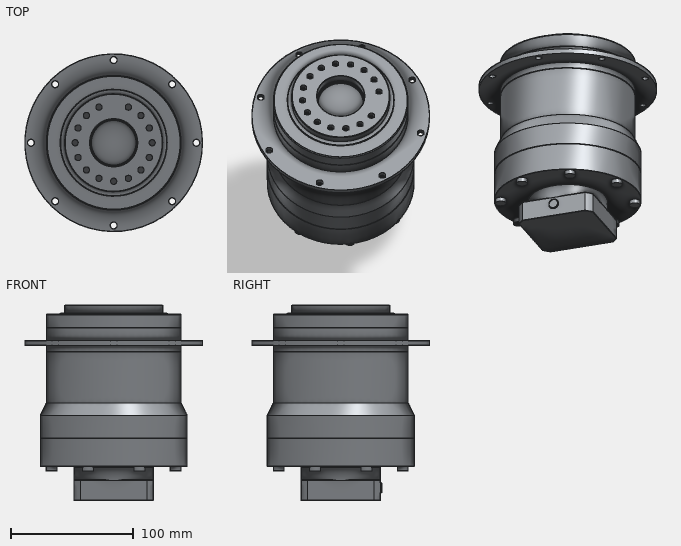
import cadquery as cq
import math

TOTAL_HEIGHT = 159.5
HOUSING_TOP = 152.3
GROOVE_HEIGHT = 140.9
GEAR_CASE_TOP = 121.4
CONE_TOP = 79.6
CONE_BOTTOM = 69.4
ADAPTER_TOP = 50.9
ADAPTER_BOTTOM = 27.8
BLOCK_HEIGHT = 17.0

EDGE_BREAK = 0.24

OUTPUT_RADIUS = 40.0
OUTPUT_EDGE_BREAK = 0.5
COLLAR_RADIUS = 43.7
COLLAR_BOTTOM = GROOVE_HEIGHT
COLLAR_TOP = 153.0
COLLAR_BREAK = 0.5
BORE_RADIUS = 19.5
BORE_DEPTH = 7.2
UPPER_STEP_RADIUS = 19.1
UPPER_STEP_DEPTH = 8.1
LOWER_STEP_RADIUS = 18.7
LOWER_STEP_DEPTH = 9.0
FLOOR_RADIUS = 18.2
FLOOR_DEPTH = 9.7
BOLT_CIRCLE_RADIUS = 31.5
BOLT_HOLE_DIAMETER = 5.1
BOLT_HOLE_DEPTH = 11.2
BOLT_PITCHES = 16

HOUSING_RADIUS = 55.0
HOUSING_EDGE_RUN = 0.8
HOUSING_EDGE_DROP = 1.0
MOUNT_DIAMETER = 145.0
MOUNT_BOTTOM = 126.5
MOUNT_THICKNESS = 4.0
MOUNT_CIRCLE_RADIUS = 67.5
MOUNT_HOLE_DIAMETER = 5.5
MOUNT_HOLES = 8

ADAPTER_RADIUS = 60.0
SCREW_CIRCLE_RADIUS = 54.7
SCREW_RADIUS = 4.5
SCREW_HEAD_HEIGHT = 3.5
SCREWS = 8

BLOCK_WIDTH = 64.8
BLOCK_CORNER_RADIUS = 42.3
BLOCK_TOP_BREAK = 0.8
BLOCK_BOTTOM_BREAK = 0.3
NECK_BREAK = 0.8
PLUG_RADIUS = 4.1
PLUG_HEIGHT = 1.1
PLUG_BREAK = 0.5
PLUG_CENTER_HEIGHT = 10.4


def turned(profile):
    """Revolve a closed outline of (radius, height) points about the Z axis."""
    return cq.Workplane("XZ").polyline(profile).close().revolve(360, (0, 0), (0, 1))


def circle_points(radius, count, start_angle=0.0):
    """Evenly pitched points on a circle about the Z axis, starting from start_angle in degrees."""
    angles = [math.radians(start_angle + index * 360 / count) for index in range(count)]
    return [(radius * math.cos(angle), radius * math.sin(angle)) for angle in angles]


def make_output_flange():
    bore_bottom = TOTAL_HEIGHT - BORE_DEPTH
    upper_step_bottom = TOTAL_HEIGHT - UPPER_STEP_DEPTH
    lower_step_bottom = TOTAL_HEIGHT - LOWER_STEP_DEPTH
    floor = TOTAL_HEIGHT - FLOOR_DEPTH
    flange = turned([
        (0, COLLAR_BOTTOM),
        (COLLAR_RADIUS, COLLAR_BOTTOM),
        (COLLAR_RADIUS, COLLAR_TOP - COLLAR_BREAK),
        (COLLAR_RADIUS - COLLAR_BREAK, COLLAR_TOP),
        (OUTPUT_RADIUS, COLLAR_TOP),
        (OUTPUT_RADIUS, TOTAL_HEIGHT - OUTPUT_EDGE_BREAK),
        (OUTPUT_RADIUS - OUTPUT_EDGE_BREAK, TOTAL_HEIGHT),
        (BORE_RADIUS + EDGE_BREAK, TOTAL_HEIGHT),
        (BORE_RADIUS, TOTAL_HEIGHT - EDGE_BREAK),
        (BORE_RADIUS, bore_bottom),
        (UPPER_STEP_RADIUS, bore_bottom),
        (UPPER_STEP_RADIUS, upper_step_bottom),
        (LOWER_STEP_RADIUS, upper_step_bottom),
        (LOWER_STEP_RADIUS, lower_step_bottom),
        (FLOOR_RADIUS, lower_step_bottom),
        (FLOOR_RADIUS, floor),
        (0, floor),
    ])
    pitch = 360 / BOLT_PITCHES
    bolt_points = circle_points(BOLT_CIRCLE_RADIUS, BOLT_PITCHES, 90 + pitch)[:-1]
    bolt_holes = (
        cq.Workplane("XY", origin=(0, 0, TOTAL_HEIGHT))
        .pushPoints(bolt_points)
        .circle(BOLT_HOLE_DIAMETER / 2)
        .extrude(-BOLT_HOLE_DEPTH)
    )
    return flange.cut(bolt_holes)


def make_front_housing():
    mount_top = MOUNT_BOTTOM + MOUNT_THICKNESS
    mount_radius = MOUNT_DIAMETER / 2
    housing = turned([
        (0, GEAR_CASE_TOP),
        (HOUSING_RADIUS - EDGE_BREAK, GEAR_CASE_TOP),
        (HOUSING_RADIUS, GEAR_CASE_TOP + EDGE_BREAK),
        (HOUSING_RADIUS, MOUNT_BOTTOM),
        (mount_radius, MOUNT_BOTTOM),
        (mount_radius, mount_top),
        (HOUSING_RADIUS, mount_top),
        (HOUSING_RADIUS, GROOVE_HEIGHT - EDGE_BREAK),
        (HOUSING_RADIUS - EDGE_BREAK, GROOVE_HEIGHT),
        (HOUSING_RADIUS, GROOVE_HEIGHT + EDGE_BREAK),
        (HOUSING_RADIUS, HOUSING_TOP - HOUSING_EDGE_DROP),
        (HOUSING_RADIUS - HOUSING_EDGE_RUN, HOUSING_TOP),
        (COLLAR_RADIUS, HOUSING_TOP),
        (COLLAR_RADIUS, COLLAR_BOTTOM),
        (0, COLLAR_BOTTOM),
    ])
    mount_holes = (
        cq.Workplane("XY", origin=(0, 0, MOUNT_BOTTOM))
        .pushPoints(circle_points(MOUNT_CIRCLE_RADIUS, MOUNT_HOLES))
        .circle(MOUNT_HOLE_DIAMETER / 2)
        .extrude(MOUNT_THICKNESS)
    )
    return housing.cut(mount_holes)


def make_gear_case():
    return turned([
        (0, ADAPTER_TOP),
        (ADAPTER_RADIUS - EDGE_BREAK, ADAPTER_TOP),
        (ADAPTER_RADIUS, ADAPTER_TOP + EDGE_BREAK),
        (ADAPTER_RADIUS, CONE_BOTTOM),
        (HOUSING_RADIUS, CONE_TOP),
        (HOUSING_RADIUS, GEAR_CASE_TOP - EDGE_BREAK),
        (HOUSING_RADIUS - EDGE_BREAK, GEAR_CASE_TOP),
        (0, GEAR_CASE_TOP),
    ])


def make_adapter():
    plate = turned([
        (0, ADAPTER_BOTTOM),
        (ADAPTER_RADIUS - EDGE_BREAK, ADAPTER_BOTTOM),
        (ADAPTER_RADIUS, ADAPTER_BOTTOM + EDGE_BREAK),
        (ADAPTER_RADIUS, ADAPTER_TOP - EDGE_BREAK),
        (ADAPTER_RADIUS - EDGE_BREAK, ADAPTER_TOP),
        (0, ADAPTER_TOP),
    ])
    screw_heads = (
        cq.Workplane("XY", origin=(0, 0, ADAPTER_BOTTOM + EDGE_BREAK))
        .pushPoints(circle_points(SCREW_CIRCLE_RADIUS, SCREWS, 180 / SCREWS))
        .circle(SCREW_RADIUS)
        .extrude(-SCREW_HEAD_HEIGHT - EDGE_BREAK)
    )
    return plate.union(screw_heads)


def make_hub():
    corners = cq.Workplane("XY").circle(BLOCK_CORNER_RADIUS).extrude(BLOCK_HEIGHT)
    block = (
        cq.Workplane("XY")
        .rect(BLOCK_WIDTH, BLOCK_WIDTH)
        .extrude(BLOCK_HEIGHT)
        .intersect(corners)
        .faces(">Z")
        .chamfer(BLOCK_TOP_BREAK)
        .faces("<Z")
        .chamfer(BLOCK_BOTTOM_BREAK)
    )
    neck_radius = BLOCK_WIDTH / 2
    neck_start = BLOCK_HEIGHT / 2
    neck = turned([
        (0, neck_start),
        (neck_radius, neck_start),
        (neck_radius, ADAPTER_BOTTOM - NECK_BREAK),
        (neck_radius - NECK_BREAK, ADAPTER_BOTTOM),
        (0, ADAPTER_BOTTOM),
    ])
    plug = (
        cq.Workplane("XZ", origin=(0, BLOCK_WIDTH / 2, PLUG_CENTER_HEIGHT))
        .circle(PLUG_RADIUS)
        .extrude(-PLUG_HEIGHT)
        .faces(">Y")
        .chamfer(PLUG_BREAK)
    )
    return block.union(neck).union(plug)


output_flange = make_output_flange()
front_housing = make_front_housing()
gear_case = make_gear_case()
adapter = make_adapter()
hub = make_hub()

result = cq.Compound.makeCompound([
    output_flange.val(),
    front_housing.val(),
    gear_case.val(),
    adapter.val(),
    hub.val(),
])